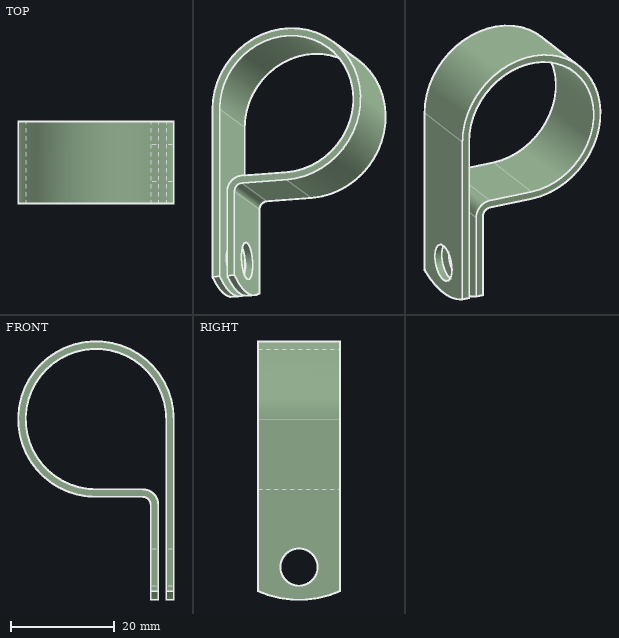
import cadquery as cq
import math

height = 49.85
strap_width = 15.85
thickness = 1.5
loop_radius = 15.0
leg_gap = 1.5
bend_radius = 3.0
hole_diameter = 7.15
hole_height = 6.35
tip_rise = 1.7

inner_radius = loop_radius - thickness
bend_inner_radius = bend_radius - thickness
leg_bottom = loop_radius - height
short_leg_outer = inner_radius - leg_gap
short_leg_inner = short_leg_outer - thickness
bend_x = short_leg_outer - bend_radius
bend_z = -inner_radius - bend_radius
half_width = strap_width / 2
diagonal = math.sqrt(0.5)


def make_strap():
    """Constant-thickness strap: long leg, loop, flat shelf, bend and short leg."""
    return (
        cq.Workplane("XZ")
        .moveTo(loop_radius, leg_bottom)
        .lineTo(loop_radius, 0)
        .threePointArc((-loop_radius * diagonal, loop_radius * diagonal), (0, -loop_radius))
        .lineTo(bend_x, -loop_radius)
        .threePointArc(
            (bend_x + bend_inner_radius * diagonal, bend_z + bend_inner_radius * diagonal),
            (short_leg_inner, bend_z),
        )
        .lineTo(short_leg_inner, leg_bottom)
        .lineTo(short_leg_outer, leg_bottom)
        .lineTo(short_leg_outer, bend_z)
        .threePointArc(
            (bend_x + bend_radius * diagonal, bend_z + bend_radius * diagonal),
            (bend_x, -inner_radius),
        )
        .lineTo(0, -inner_radius)
        .threePointArc((-inner_radius * diagonal, inner_radius * diagonal), (inner_radius, 0))
        .lineTo(inner_radius, leg_bottom)
        .close()
        .extrude(half_width, both=True)
    )


def make_tip_envelope():
    """Block spanning the clamp, with the convex arc of the leg tips as its underside."""
    return (
        cq.Workplane("YZ")
        .moveTo(-half_width, loop_radius)
        .lineTo(-half_width, leg_bottom + tip_rise)
        .threePointArc((0, leg_bottom), (half_width, leg_bottom + tip_rise))
        .lineTo(half_width, loop_radius)
        .close()
        .extrude(loop_radius, both=True)
    )


def make_bolt_hole():
    """Cylinder along X passing through both legs."""
    return (
        cq.Workplane("YZ")
        .center(0, leg_bottom + hole_height)
        .circle(hole_diameter / 2)
        .extrude(loop_radius)
    )


result = make_strap().intersect(make_tip_envelope()).cut(make_bolt_hole())